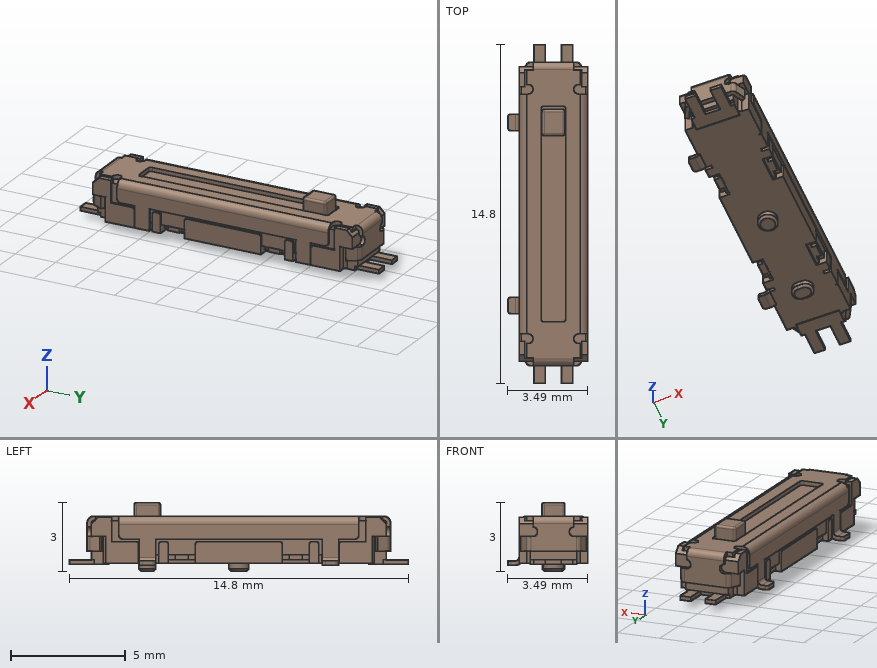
import cadquery as cq
import math


WIDTH = 3.0
HALF_WIDTH = WIDTH / 2
HALF_LENGTH = 6.63
COVER_TOP = 2.05
SHEET = 0.19

SIDE_BEND = 0.35
END_BEND = 0.31
SIDE_PANEL_HALF = 5.24
SIDE_PANEL_BOTTOM = 1.05
SIDE_PANEL_CORNER = 0.18
PLATE_HALF_WIDTH = 1.17
PLATE_HALF_LENGTH = 6.28
END_NECK_HALF = 0.89
END_FLAP_HALF = 0.99
END_FLAP_BOTTOM = 0.53
RELIEF_RADIUS = 0.2
PLATE_RELIEF_X = 1.1
END_RELIEF_X = 0.9
SLOT_WIDTH = 1.08
SLOT_LENGTH = 9.41
SLOT_CORNER = 0.12

WRAP_ANGLE = math.radians(62)
WRAP_RADIUS = 0.22
WRAP_LENGTH = 0.5

LEG_Y = 4.0
LEG_WIDTH = 0.73
FOOT_REACH = 0.49
FOOT_TOP = 0.1
FOOT_BEND = 0.16
FOOT_CORNER = 0.13

CORE_HALF_WIDTH = 1.4
CORE_TOP = COVER_TOP - SHEET
HOUSING_END = HALF_LENGTH - SHEET
WING_START = 5.55
WING_BOTTOM = 1.17
WING_TOP = 2.01
WING_INNER = 1.25
WING_CHAMFER = 0.28
SHOULDER_Y = 5.82
SHOULDER_X = 1.17
NOSE_HALF_WIDTH = 1.02
NOSE_START = 5.92
RIB_TOP = 0.95
RIB_CORNER = 0.12
END_RIB_START = 4.38
POST_START = 3.08
POST_END = 3.5
MIDDLE_RIB_HALF = 1.9
NOTCH_END = 3.63
NOTCH_TOP = 0.37
NOTCH_FLOOR_X = 1.17
LOWER_NOTCH_TOP = 0.15
LOWER_NOTCH_FLOOR_X = 1.02
LUG_Y = 2.49
LUG_WIDTH = 0.56
LUG_FACE_X = 1.38

TERMINAL_PITCH = 1.2
TERMINAL_X = TERMINAL_PITCH / 2
TERMINAL_WIDTH = 0.5
TERMINAL_TIP = 7.4
TERMINAL_BOTTOM = -0.05
TERMINAL_TOP = 0.15
PAD_START = 5.68
PAD_END = 6.3

KNOB_Y = 4.0
KNOB_WIDTH = 1.0
KNOB_LENGTH = 1.15
KNOB_TOP = 2.65
KNOB_ROUND = 0.1
PEG_BOTTOM = -0.35
PEG_CHAMFER = 0.12
ROUND_PEG_DIAMETER = 0.89
LONG_PEG_Y = 4.0
LONG_PEG_LENGTH = 0.99
LONG_PEG_WIDTH = 0.75


def block(x0, x1, y0, y1, z0, z1):
    """Box between two opposite corners."""
    return cq.Workplane("XY").box(x1 - x0, y1 - y0, z1 - z0, centered=False).translate((x0, y0, z0))


def mirrored_x(shape):
    return shape.union(shape.mirror("YZ"))


def mirrored_y(shape):
    return shape.union(shape.mirror("XZ"))


def rib(y0, y1, rounded):
    """Raised rib on the -X side, flush with the cover; `rounded` selects its rounded top edges."""
    body = block(-HALF_WIDTH, -NOTCH_FLOOR_X, y0, y1, 0, RIB_TOP)
    return body.edges("|X and >Z").edges(rounded).fillet(RIB_CORNER)


def housing_end():
    """The +Y end: full-width shoulders, a narrower nose and two overhanging wings."""
    outline = [
        (HALF_WIDTH, WING_START),
        (HALF_WIDTH, SHOULDER_Y),
        (SHOULDER_X, SHOULDER_Y),
        (NOSE_HALF_WIDTH, NOSE_START),
        (NOSE_HALF_WIDTH, HOUSING_END),
    ]
    outline += [(-x, y) for x, y in reversed(outline)]
    lower = cq.Workplane("XY").polyline(outline).close().extrude(WING_BOTTOM)
    lower = lower.cut(block(-HALF_WIDTH, HALF_WIDTH, PAD_END, HOUSING_END, 0, TERMINAL_TOP))
    upper = block(-HALF_WIDTH, HALF_WIDTH, WING_START, HOUSING_END, WING_BOTTOM, WING_TOP)
    upper = upper.edges(">Y and >Z").chamfer(WING_CHAMFER)
    upper = upper.cut(block(-WING_INNER, WING_INNER, WING_START, HOUSING_END, CORE_TOP, WING_TOP))
    pad = block(-NOSE_HALF_WIDTH, NOSE_HALF_WIDTH, PAD_START, PAD_END, TERMINAL_BOTTOM, TERMINAL_TOP)
    return lower.union(upper).union(pad)


def housing():
    core = block(-CORE_HALF_WIDTH, CORE_HALF_WIDTH, -WING_START, WING_START, 0, CORE_TOP)
    notch = block(-HALF_WIDTH, -NOTCH_FLOOR_X, MIDDLE_RIB_HALF, NOTCH_END, 0, NOTCH_TOP)
    lower_notch = block(-HALF_WIDTH, -LOWER_NOTCH_FLOOR_X, MIDDLE_RIB_HALF, POST_START, 0, LOWER_NOTCH_TOP)
    core = core.cut(mirrored_x(mirrored_y(notch.union(lower_notch))))

    lug = block(
        -LUG_FACE_X, -NOTCH_FLOOR_X,
        LUG_Y - LUG_WIDTH / 2, LUG_Y + LUG_WIDTH / 2,
        LOWER_NOTCH_TOP, NOTCH_TOP,
    )
    post = rib(POST_START, POST_END, "|X")
    end_rib = rib(END_RIB_START, WING_START, "<Y")
    side = mirrored_y(lug.union(post).union(end_rib))
    side = side.union(rib(-MIDDLE_RIB_HALF, MIDDLE_RIB_HALF, "|X"))
    return core.union(mirrored_x(side)).union(mirrored_y(housing_end()))


def bent_sheet(half_span, bottom, bend, plane, half_width):
    """Sheet folded down at both edges, its section drawn in `plane` and extruded both ways."""
    outer = (
        cq.Workplane(plane)
        .rect(2 * half_span, 2 * (COVER_TOP - bottom))
        .extrude(half_width, both=True)
        .translate((0, 0, bottom))
    )
    axis = "|Y" if plane == "XZ" else "|X"
    outer = outer.edges(axis).fillet(bend)
    inner = (
        cq.Workplane(plane)
        .rect(2 * (half_span - SHEET), 2 * (COVER_TOP - SHEET - bottom))
        .extrude(half_width, both=True)
        .translate((0, 0, bottom))
    )
    inner = inner.edges(axis).fillet(bend - SHEET)
    upper_half = block(-HALF_LENGTH, HALF_LENGTH, -HALF_LENGTH, HALF_LENGTH, bottom, COVER_TOP)
    return outer.cut(inner).intersect(upper_half)


def side_panels():
    panels = bent_sheet(HALF_WIDTH, SIDE_PANEL_BOTTOM, SIDE_BEND, "XZ", SIDE_PANEL_HALF)
    lower_corners = cq.selectors.BoxSelector(
        (-HALF_LENGTH, -HALF_LENGTH, SIDE_PANEL_BOTTOM - SHEET),
        (HALF_LENGTH, HALF_LENGTH, SIDE_PANEL_BOTTOM + SHEET),
    )
    return panels.edges("|X").edges(lower_corners).fillet(SIDE_PANEL_CORNER)


def top_plate():
    """Top sheet with rounded bend reliefs beside its corners."""
    plate = block(
        -PLATE_HALF_WIDTH, PLATE_HALF_WIDTH,
        -PLATE_HALF_LENGTH, PLATE_HALF_LENGTH,
        CORE_TOP, COVER_TOP,
    )
    relief_y = SIDE_PANEL_HALF + RELIEF_RADIUS
    relief = (
        cq.Workplane("XY", origin=(PLATE_RELIEF_X, relief_y, CORE_TOP))
        .circle(RELIEF_RADIUS)
        .extrude(SHEET)
    )
    mouth = block(
        PLATE_RELIEF_X, HALF_WIDTH,
        SIDE_PANEL_HALF, SIDE_PANEL_HALF + 2 * RELIEF_RADIUS,
        CORE_TOP, COVER_TOP,
    )
    return plate.cut(mirrored_x(mirrored_y(relief.union(mouth))))


def end_flaps():
    """Sheet folded down over both ends, necked in above its wide lower part."""
    flaps = bent_sheet(HALF_LENGTH, END_FLAP_BOTTOM, END_BEND, "YZ", END_FLAP_HALF)
    above_flap = block(END_NECK_HALF, END_FLAP_HALF, -HALF_LENGTH, HALF_LENGTH, WING_BOTTOM, COVER_TOP)
    relief = (
        cq.Workplane("XZ", origin=(END_RELIEF_X, 0, WING_BOTTOM + RELIEF_RADIUS))
        .circle(RELIEF_RADIUS)
        .extrude(HALF_LENGTH, both=True)
    )
    return flaps.cut(mirrored_x(above_flap.union(relief)))


def corner_wrap():
    """Lower corner of an end flap, bent back around the +X, +Y corner of the nose."""
    centre_y = HALF_LENGTH - WRAP_RADIUS

    def on_bend(radius, angle):
        return (END_FLAP_HALF + radius * math.sin(angle), centre_y + radius * math.cos(angle))

    def beyond_bend(radius):
        x, y = on_bend(radius, WRAP_ANGLE)
        return (x + WRAP_LENGTH * math.cos(WRAP_ANGLE), y - WRAP_LENGTH * math.sin(WRAP_ANGLE))

    inner_radius = WRAP_RADIUS - SHEET
    return (
        cq.Workplane("XY", origin=(0, 0, END_FLAP_BOTTOM))
        .moveTo(*on_bend(WRAP_RADIUS, 0))
        .threePointArc(on_bend(WRAP_RADIUS, WRAP_ANGLE / 2), on_bend(WRAP_RADIUS, WRAP_ANGLE))
        .lineTo(*beyond_bend(WRAP_RADIUS))
        .lineTo(*beyond_bend(inner_radius))
        .lineTo(*on_bend(inner_radius, WRAP_ANGLE))
        .threePointArc(on_bend(inner_radius, WRAP_ANGLE / 2), on_bend(inner_radius, 0))
        .close()
        .extrude(WING_BOTTOM - END_FLAP_BOTTOM)
    )


def leg_with_foot():
    """Leg on the -X side, curving outward at the bottom into a flat solder foot."""
    foot_tip = -HALF_WIDTH - FOOT_REACH
    bend_x = -HALF_WIDTH - FOOT_BEND
    bend_z = FOOT_TOP + FOOT_BEND
    outer_bend = FOOT_BEND + SHEET
    diagonal = math.sqrt(0.5)
    foot = (
        cq.Workplane("XZ", origin=(0, LEG_Y + LEG_WIDTH / 2, 0))
        .moveTo(-HALF_WIDTH, SIDE_PANEL_BOTTOM)
        .lineTo(-HALF_WIDTH, bend_z)
        .threePointArc(
            (bend_x + FOOT_BEND * diagonal, bend_z - FOOT_BEND * diagonal),
            (bend_x, FOOT_TOP),
        )
        .lineTo(foot_tip, FOOT_TOP)
        .lineTo(foot_tip, FOOT_TOP - SHEET)
        .lineTo(bend_x, FOOT_TOP - SHEET)
        .threePointArc(
            (bend_x + outer_bend * diagonal, bend_z - outer_bend * diagonal),
            (bend_x + outer_bend, bend_z),
        )
        .lineTo(bend_x + outer_bend, SIDE_PANEL_BOTTOM)
        .close()
        .extrude(LEG_WIDTH)
    )
    return foot.edges("|Z and <X").fillet(FOOT_CORNER)


def straight_leg():
    """Plain leg on the +X side."""
    return block(
        HALF_WIDTH - SHEET, HALF_WIDTH,
        LEG_Y - LEG_WIDTH / 2, LEG_Y + LEG_WIDTH / 2,
        0, SIDE_PANEL_BOTTOM,
    )


def cover():
    slot = (
        cq.Workplane("XY", origin=(0, 0, CORE_TOP))
        .rect(SLOT_WIDTH, SLOT_LENGTH)
        .extrude(SHEET)
        .edges("|Z")
        .fillet(SLOT_CORNER)
    )
    sheet = side_panels().union(top_plate()).union(end_flaps())
    sheet = sheet.union(mirrored_x(mirrored_y(corner_wrap())))
    sheet = sheet.union(mirrored_y(leg_with_foot().union(straight_leg())))
    return sheet.cut(slot)


def terminals():
    one = block(
        TERMINAL_X - TERMINAL_WIDTH / 2, TERMINAL_X + TERMINAL_WIDTH / 2,
        PAD_START, TERMINAL_TIP,
        TERMINAL_BOTTOM, TERMINAL_TOP,
    )
    return mirrored_x(mirrored_y(one))


def knob():
    return (
        cq.Workplane("XY", origin=(0, KNOB_Y, CORE_TOP))
        .rect(KNOB_WIDTH, KNOB_LENGTH)
        .extrude(KNOB_TOP - CORE_TOP)
        .edges("|Z or >Z")
        .fillet(KNOB_ROUND)
    )


def pegs():
    """Round locating peg at the centre and a second one, lengthened along X, further along +Y."""
    round_peg = cq.Workplane("XY").circle(ROUND_PEG_DIAMETER / 2).extrude(PEG_BOTTOM)
    long_peg = (
        cq.Workplane("XY", origin=(0, LONG_PEG_Y, 0))
        .slot2D(LONG_PEG_LENGTH, LONG_PEG_WIDTH)
        .extrude(PEG_BOTTOM)
    )
    return round_peg.union(long_peg).faces("<Z").edges().chamfer(PEG_CHAMFER)


result = housing().union(cover()).union(terminals()).union(knob()).union(pegs())